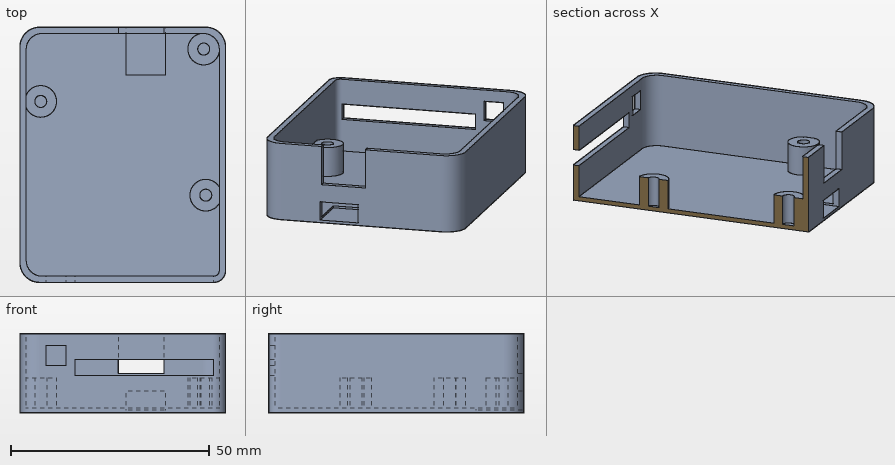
import cadquery as cq

length_x = 52.0
length_y = 64.5
height = 20.0
wall = 1.6
floor = 1.2
corner_radius = 5.0
cavity_radius = 4.0
small_corner_radius = 3.0
small_cavity_radius = 1.4

post_diameter = 8.0
screw_diameter = 3.0
post_top = floor + 7.55
post_centers = [(46.45, 58.95), (5.3, 45.7), (46.95, 22.05)]

button_x = 6.65
button_z = 12.0
button_size = 5.0
slot_start_x = 14.0
slot_end_x = length_x - small_corner_radius
slot_z = 9.5
slot_height = 4.0

notch_x = 24.9
notch_width = 11.5
notch_z = 10.0
port_x = 26.75
port_width = 10.0
port_top = 5.5
recess_depth = 0.5
recess_length = 10.5


def rounded_block(inset, bottom, radius, small_radius):
    """Upright block following the outer outline, moved inwards by inset and reaching up to the rim."""
    block = box_between((inset, inset, bottom), (length_x - inset, length_y - inset, height))
    block = block.edges("(|Z and <X) or (|Z and >Y)").fillet(radius)
    return block.edges("|Z and >X and <Y").fillet(small_radius)


def outer_block():
    """Full outer volume of the tray."""
    return rounded_block(0, 0, corner_radius, small_corner_radius)


def box_between(low, high):
    """Box spanning two opposite corners."""
    sizes = [end - start for start, end in zip(low, high)]
    return cq.Workplane("XY").box(*sizes, centered=False).translate(low)


def posts():
    """Screw posts standing on the floor."""
    solid = (
        cq.Workplane("XY").workplane(offset=floor)
        .pushPoints(post_centers).circle(post_diameter / 2).extrude(post_top - floor)
    )
    return solid.intersect(outer_block())


def screw_holes():
    """Blind screw holes from the post tops down to the floor."""
    return (
        cq.Workplane("XY").workplane(offset=floor)
        .pushPoints(post_centers).circle(screw_diameter / 2).extrude(post_top - floor)
    )


def front_openings():
    """Square button window and long card slot."""
    button = box_between(
        (button_x, 0, button_z),
        (button_x + button_size, wall, button_z + button_size),
    )
    slot = box_between((slot_start_x, 0, slot_z), (slot_end_x, wall, slot_z + slot_height))
    return button.union(slot)


def back_openings():
    """Notch open at the rim, and a port window that runs on as a floor recess."""
    inner_back = length_y - wall
    port_end_x = port_x + port_width
    recess_z = floor - recess_depth
    notch = box_between((notch_x, inner_back, notch_z), (notch_x + notch_width, length_y, height))
    port = box_between((port_x, inner_back, recess_z), (port_end_x, length_y, port_top))
    recess = box_between((port_x, inner_back - recess_length, recess_z), (port_end_x, inner_back, floor))
    return notch.union(port).union(recess)


cavity = rounded_block(wall, floor, cavity_radius, small_cavity_radius)
shell = outer_block().cut(cavity)
result = shell.union(posts()).cut(screw_holes()).cut(front_openings()).cut(back_openings())